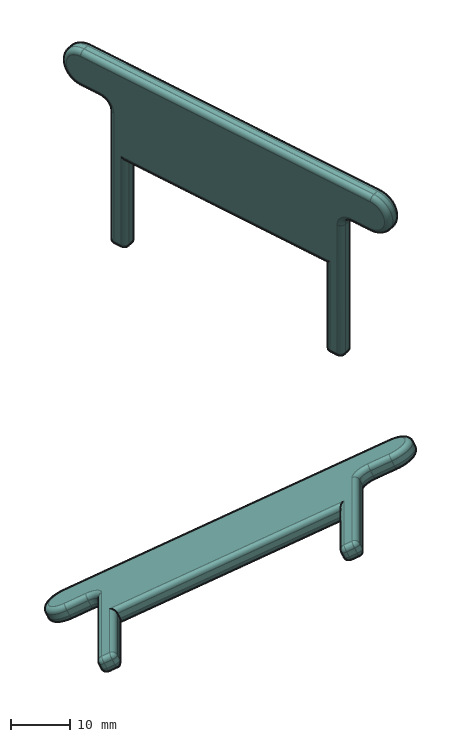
import cadquery as cq

overall_width = 69.0
overall_height = 40.0
thickness = 3.0
head_height = 8.0
body_width = 49.0
leg_width = 3.5
leg_length = 20.0
neck_radius = 2.0
edge_radius = 1.0

head_radius = head_height / 2
head_bottom_z = overall_height - head_height
head_center_z = head_bottom_z + head_radius
gap_width = body_width - 2 * leg_width


def make_head():
    """Horizontal bar with semicircular ends."""
    return (
        cq.Workplane("XZ")
        .center(0, head_center_z)
        .slot2D(overall_width, head_height)
        .extrude(thickness / 2, both=True)
    )


def make_body():
    """Plate below the bar, cut away between its two legs."""
    plate = cq.Workplane("XY").box(
        body_width, thickness, head_center_z, centered=(True, True, False)
    )
    gap = cq.Workplane("XY").box(
        gap_width, thickness, leg_length, centered=(True, True, False)
    )
    return plate.cut(gap)


def round_neck_corners(part):
    """Round the inside corners where the body meets the underside of the bar."""
    pick_size = neck_radius / 2
    for side in (-1, 1):
        corner_x = side * body_width / 2
        pick_box = cq.selectors.BoxSelector(
            (corner_x - pick_size, -thickness, head_bottom_z - pick_size),
            (corner_x + pick_size, thickness, head_bottom_z + pick_size),
        )
        part = part.edges("|Y").edges(pick_box).fillet(neck_radius)
    return part


def round_leg_tips(part):
    """Round the outline corners at the leg tips."""
    return part.faces("<Z").edges("|Y").fillet(edge_radius)


def round_rims(part):
    """Round the outline of the front and back faces."""
    return part.faces("<Y or >Y").edges().fillet(edge_radius)


outline = make_head().union(make_body()).clean()
result = round_rims(round_leg_tips(round_neck_corners(outline)))